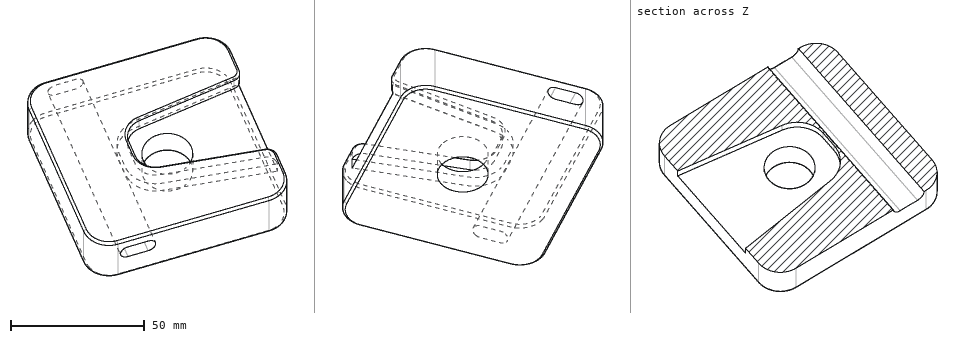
import cadquery as cq
import math

side = 80.0
height = 21.0
corner_radius = 10.0
edge_chamfer = 1.0

lip_thickness = 6.0
channel_depth = 10.5
channel_end_y = -10.0
mouth_half_width = 17.45
wall_angle = 8.0
channel_end_radius = 8.0
mouth_radius = 4.0
lip_overhang = 4.0

hole_diameter = 19.0
hole_y = 4.0

slot_length = 14.0
slot_height = 6.0
slot_y = -22.0
slot_z = 13.5

back_y = side / 2
lip_z = height - lip_thickness
floor_z = height - channel_depth
wall_slope = math.tan(math.radians(wall_angle))


def tapered_prism(bottom_z, top_z, offset):
    """Tapered prism open at the back, its walls moved outward by offset."""
    end_y = channel_end_y - offset
    back_half_width = mouth_half_width + offset / math.cos(math.radians(wall_angle))
    end_half_width = back_half_width - (back_y - end_y) * wall_slope
    outline = [
        (-back_half_width, back_y),
        (-end_half_width, end_y),
        (end_half_width, end_y),
        (back_half_width, back_y),
    ]
    prism = cq.Workplane("XY").workplane(offset=bottom_z).polyline(outline).close().extrude(top_z - bottom_z)
    return prism.edges("|Z and <Y").fillet(channel_end_radius + offset)


def rounded_block():
    """Square block with rounded vertical corners, standing on Z = 0."""
    block = cq.Workplane("XY").rect(side, side).extrude(height)
    return block.edges("|Z").fillet(corner_radius)


def block_with_lip_opening():
    """Block with the opening between the lips, its mouth rounded and its outer edges chamfered."""
    block = rounded_block().cut(tapered_prism(lip_z, height, 0))
    mouth_corners = cq.selectors.BoxSelector(
        (-mouth_half_width - edge_chamfer, back_y - edge_chamfer, lip_z),
        (mouth_half_width + edge_chamfer, back_y + edge_chamfer, height),
    )
    block = block.edges("|Z").edges(mouth_corners).fillet(mouth_radius)
    block = block.faces(">Z").edges().chamfer(edge_chamfer)
    return block.faces("<Z").edges().chamfer(edge_chamfer)


def undercut():
    """Wider tapered space between the channel floor and the underside of the lip."""
    return tapered_prism(floor_z, lip_z, lip_overhang)


def floor_hole():
    """Vertical cylinder through the full height."""
    return cq.Workplane("XY").center(0, hole_y).circle(hole_diameter / 2).extrude(height)


def cross_slot():
    """Bar with a round-ended profile along the full width in X."""
    profile = cq.Workplane("YZ").center(slot_y, slot_z).slot2D(slot_length, slot_height)
    return profile.extrude(side / 2, both=True)


result = block_with_lip_opening().cut(undercut()).cut(floor_hole()).cut(cross_slot())